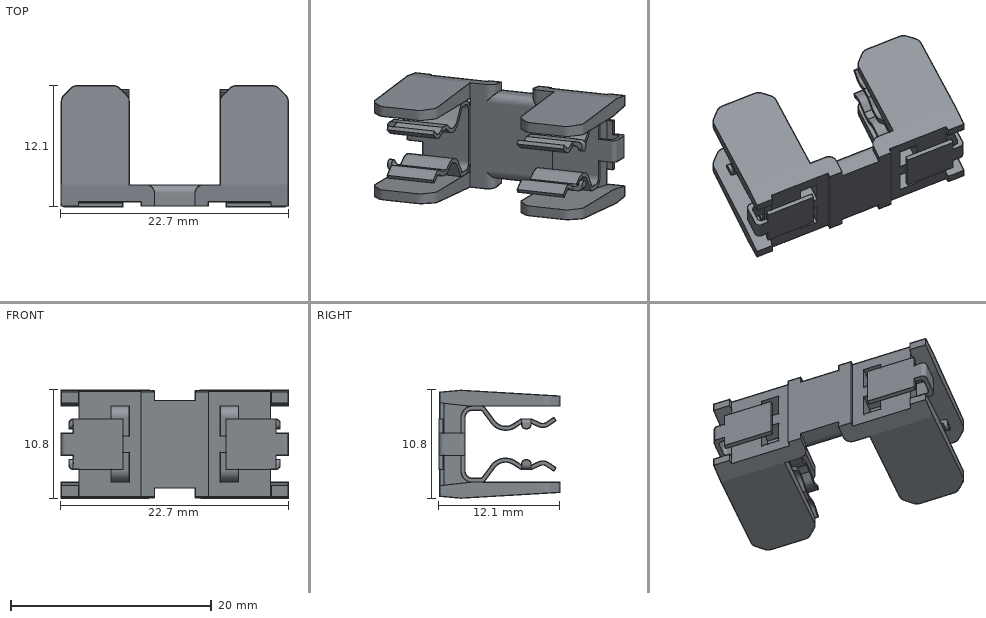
import cadquery as cq
import math


margin = 0.02

housing_half_length = 11.34
housing_front = 0.08
floor = 2.2
base_half_length = 9.57
base_front_half_width = 5.2
base_back_half_width = 10.8 / 2
foot_start = 9.63
recess_depth = 0.43
rib_half_length = 3.36

wing_tip = 12.1
wing_tip_half_width = 4.82
wing_inner_end = 4.55
wing_inside = 3.8
wing_corner_chamfer = 1.23
wing_corner_radius = 0.95
foot_taper_start = 3.18
foot_inside = 4.14

notch_half_length = 2.02
notch_floor = 4.38
notch_edge_radius = 0.85

window_length = 1.82
window_inside = 0.82

sheet = 0.4
half_sheet = sheet / 2
spring_foot_radius = 0.23
fold_outer_radius = 0.45
tail_inner_radius = 0.36
stop_inner_radius = 0.4
root_bend_radius = 1.14
spring_outer_end = 9.55
spring_length = spring_outer_end - wing_inner_end
contact_bend_radius = 1.6
mouth_bend_radius = 0.86

tail_half_width = 1.11
tail_end = 11.35
pad_half_width = 2.52
pad_inner_end = 5.15
pad_length = 4.98

stop_flat_start = 8.25
stop_width = 0.95
stop_height = 2.32
stop_end = 10.55
stop_tip = 1.52
clip_shift = -0.02


def make_base():
    """Flat base with tapered long sides."""
    return (
        cq.Workplane("YZ", origin=(-base_half_length, 0, 0))
        .polyline([
            (housing_front, -base_front_half_width),
            (floor, -base_back_half_width),
            (floor, base_back_half_width),
            (housing_front, base_front_half_width),
        ])
        .close()
        .extrude(2 * base_half_length)
    )


def make_wing():
    """Upper left wing, running from its foot at the front to its chamfered tip."""
    blank = (
        cq.Workplane("YZ", origin=(-housing_half_length, 0, 0))
        .polyline([
            (housing_front, wing_inside),
            (housing_front, base_front_half_width),
            (floor, base_back_half_width),
            (wing_tip, wing_tip_half_width),
            (wing_tip, wing_inside),
        ])
        .close()
        .extrude(housing_half_length - wing_inner_end)
    )
    tip_corners = cq.selectors.BoxSelector(
        (-housing_half_length - margin, wing_tip - wing_corner_chamfer - margin, wing_inside),
        (-wing_inner_end + margin, wing_tip + margin, base_back_half_width),
    )
    chamfered = blank.edges("|Z and >Y").chamfer(wing_corner_chamfer)
    return chamfered.edges("|Z").edges(tip_corners).fillet(wing_corner_radius)


def make_root_fillet():
    """Concave fillet between the base and the upper left wing, matching the bend of the clip."""
    corner_y = floor + root_bend_radius
    corner_z = wing_inside - root_bend_radius
    arc_reach = root_bend_radius * math.sqrt(0.5)
    return (
        cq.Workplane("YZ", origin=(-base_half_length, 0, 0))
        .moveTo(floor, corner_z)
        .lineTo(floor, wing_inside)
        .lineTo(corner_y, wing_inside)
        .threePointArc((corner_y - arc_reach, corner_z + arc_reach), (floor, corner_z))
        .close()
        .extrude(base_half_length - wing_inner_end)
    )


def make_foot_taper():
    """Wedge that widens the gap between the feet towards the front, outside the base."""
    return (
        cq.Workplane("YZ", origin=(-housing_half_length, 0, 0))
        .polyline([
            (housing_front, wing_inside),
            (foot_taper_start, wing_inside),
            (housing_front, foot_inside),
        ])
        .close()
        .extrude(housing_half_length - base_half_length)
    )


def make_recess():
    """Shallow left recess in the front of the base, between rib and feet, drafted at the feet."""
    return (
        cq.Workplane("XY", origin=(0, 0, -base_back_half_width))
        .polyline([
            (-foot_start, housing_front),
            (-base_half_length, housing_front + recess_depth),
            (-rib_half_length, housing_front + recess_depth),
            (-rib_half_length, housing_front),
        ])
        .close()
        .extrude(2 * base_back_half_width)
    )


def make_window():
    """Upper left window through the base, in front of the bend of the clip."""
    return cq.Workplane("XY").box(
        window_length, floor + root_bend_radius, wing_inside - window_inside, centered=False
    ).translate((-wing_inner_end - window_length, 0, window_inside))


def make_notch():
    """Upper notch in the middle of the base."""
    return cq.Workplane("XY").box(
        2 * notch_half_length, floor, base_back_half_width, centered=(True, False, False)
    ).translate((0, 0, notch_floor))


def notch_back_edges(side):
    """Selector of the three back edges of the notch on the given side of Z = 0."""
    return cq.selectors.BoxSelector(
        (-notch_half_length - margin, floor - margin, side * (notch_floor - margin)),
        (notch_half_length + margin, floor + margin, side * (base_back_half_width - margin)),
    )


def four_ways(corner):
    """The shape in the upper left quarter together with its three mirror images."""
    pair = corner.union(corner.mirror("XY"))
    return pair.union(pair.mirror("YZ"))


def make_housing():
    notch = make_notch()
    recess = make_recess()
    body = make_base().cut(notch).cut(notch.mirror("XY"))
    body = body.edges(notch_back_edges(1)).fillet(notch_edge_radius)
    body = body.edges(notch_back_edges(-1)).fillet(notch_edge_radius)
    body = body.union(four_ways(make_wing().cut(make_foot_taper()).union(make_root_fillet())))
    body = body.cut(recess).cut(recess.mirror("YZ"))
    return body.cut(four_ways(make_window()))


def trace(sketch, points):
    """Continue a sketch along points, each the only point of a corner or the three of an arc."""
    for first, *arc in points:
        sketch = sketch.lineTo(*first)
        if arc:
            sketch = sketch.threePointArc(*arc)
    return sketch


def offset_corner(corner, before, after, radius, offset):
    """Points of one bend of a sheet face that lies the offset left of the centreline.

    The centreline turns at the corner from direction `before` to `after`, with the given
    radius; radius 0 is a sharp corner.
    """
    half_turn = math.remainder(after - before, 2 * math.pi) / 2
    middle = before + half_turn
    miter = offset / math.cos(half_turn)
    x = corner[0] - miter * math.sin(middle)
    y = corner[1] + miter * math.cos(middle)
    if radius == 0:
        return [(x, y)]
    face_radius = radius - math.copysign(1, half_turn) * offset
    setback = face_radius * math.tan(abs(half_turn))
    sagitta = math.copysign(face_radius / math.cos(half_turn) - face_radius, half_turn)
    return [
        (x - setback * math.cos(before), y - setback * math.sin(before)),
        (x - sagitta * math.sin(middle), y + sagitta * math.cos(middle)),
        (x + setback * math.cos(after), y + setback * math.sin(after)),
    ]


def bent_sheet(workplane, corners, radii, width):
    """Sheet of constant thickness along a centreline with the given corners and bend radii."""
    angles = [math.atan2(b[1] - a[1], b[0] - a[0]) for a, b in zip(corners, corners[1:])]
    angles = [angles[0], *angles, angles[-1]]
    radii = [0, *radii, 0]
    left, right = (
        [
            offset_corner(corner, before, after, radius, offset)
            for corner, before, after, radius in zip(corners, angles, angles[1:], radii)
        ]
        for offset in (half_sheet, -half_sheet)
    )
    start = left[0][0]
    outline = trace(workplane.moveTo(*start), left[1:])
    outline = trace(outline, [points[::-1] for points in right[::-1]])
    return outline.close().extrude(width)


def make_springs():
    """Clip base with both wavy springs, bent from one strip."""
    spring_height = wing_inside - half_sheet
    upper = [
        (floor + half_sheet, spring_height),
        (4.38, spring_height),
        (6.27, 1.02),
        (stop_flat_start, stop_height),
        (stop_flat_start + stop_width, stop_height),
        (10.45, 1.75),
        (11.59, 2.52),
    ]
    radii = [
        root_bend_radius - half_sheet,
        spring_foot_radius,
        contact_bend_radius,
        0,
        0,
        mouth_bend_radius,
    ]
    lower = [(y, -z) for y, z in upper]
    workplane = cq.Workplane("YZ", origin=(-spring_outer_end, 0, 0))
    return bent_sheet(workplane, lower[::-1] + upper, radii[::-1] + radii, spring_length)


def make_tail():
    """Narrow tail folded around the end of the base to its front."""
    tail_centre = half_sheet - tail_end
    corners = [
        (-spring_outer_end, floor + half_sheet),
        (tail_centre, floor + half_sheet),
        (tail_centre, half_sheet),
        (-pad_inner_end, half_sheet),
    ]
    workplane = cq.Workplane("XY", origin=(0, 0, -tail_half_width))
    tail = bent_sheet(workplane, corners, [0, 0], 2 * tail_half_width)
    tail = tail.edges("|Z").edges(">>X[1]").fillet(tail_inner_radius)
    return tail.edges("|Z").edges("<X").fillet(fold_outer_radius)


def make_pad():
    """Wide solder pad at the end of the tail."""
    return cq.Workplane("XY").box(
        pad_length, sheet, 2 * pad_half_width, centered=(False, False, True)
    ).translate((-pad_inner_end - pad_length, 0, 0))


def make_stop():
    """Ear on the upper spring, bent inwards at its end and fully rounded at the tip."""
    stop_centre = half_sheet - stop_end
    tip_radius = stop_width / 2
    corners = [
        (-spring_outer_end, stop_height),
        (stop_centre, stop_height),
        (stop_centre, stop_tip),
    ]
    workplane = cq.Workplane("XZ", origin=(0, stop_flat_start + stop_width, 0))
    ear = bent_sheet(workplane, corners, [0], stop_width)
    ear = ear.edges("|Y").edges(">>X[1]").edges(">Z").fillet(stop_inner_radius)
    ear = ear.edges("|Y").edges("<X").edges(">Z").fillet(fold_outer_radius)
    rounded_outline = (
        cq.Workplane("YZ", origin=(-stop_end, 0, 0))
        .moveTo(stop_flat_start, stop_tip + tip_radius)
        .threePointArc(
            (stop_flat_start + tip_radius, stop_tip),
            (stop_flat_start + stop_width, stop_tip + tip_radius),
        )
        .lineTo(stop_flat_start + stop_width, stop_height + half_sheet)
        .lineTo(stop_flat_start, stop_height + half_sheet)
        .close()
        .extrude(stop_end - spring_outer_end)
    )
    return ear.intersect(rounded_outline)


def make_clip():
    """Left clip."""
    stop = make_stop()
    return make_springs().union(make_tail()).union(make_pad()).union(stop).union(stop.mirror("XY"))


housing = make_housing()
left_clip = make_clip()
clips = [clip.translate((clip_shift, 0, 0)) for clip in (left_clip, left_clip.mirror("YZ"))]

result = cq.Compound.makeCompound([housing.val(), *[clip.val() for clip in clips]])